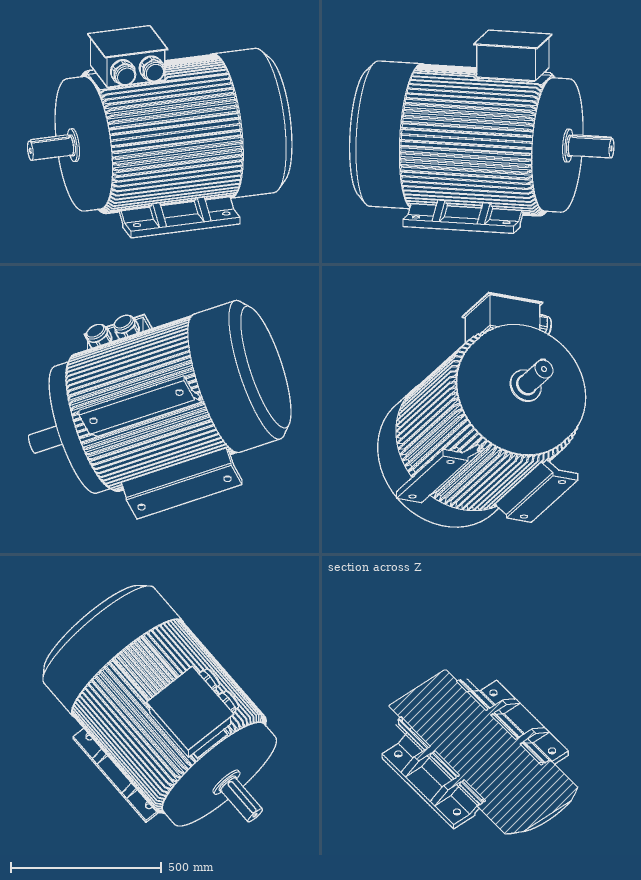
import cadquery as cq
import math


shaft_diameter = 65
shaft_length = 140
collar_diameter = 70
collar_length = 6
cap_diameter = 110
cap_length = 8
centre_hole_diameter = 17.29
centre_hole_cone_angle = 60
key_width = 18
key_length = 135
key_end_gap = 0.5
height_over_key = 69
key_top_height = height_over_key - shaft_diameter / 2
key_depth = 11

shield_diameter = 445
shield_length = 63
shield_edge_radius = 5
frame_diameter = 440
frame_length = 449
fan_cover_diameter = 485
fan_cover_length = 179
fan_cover_chamfer = 30

fin_tip_radius = 240
fin_thickness = 5
fin_pitch_angle = 5
fin_taper_length = 15
fin_taper_tip_radius = fin_tip_radius - fin_taper_length
fin_root_depth = 5
fin_root_radius = frame_diameter / 2 - fin_root_depth
fin_free_angle = 20

pad_width = 130
pad_top = 220.5
pad_front_gap = 5
top_fin_pitch = 15
top_fin_count = 9
top_fin_length = 207

box_width = 182
box_length = 202
box_bottom = 234
box_edge_chamfer = 5
box_centre_y = 199
overall_top = 354
lid_width = 198
lid_length = 218
lid_thickness = 4
pedestal_length = 130

gland_spacing = 100
gland_axis_height = 294
gland_collar_diameter = 77
gland_collar_length = 6
gland_hex_across_flats = 73
gland_hex_corner_diameter = 80
gland_hex_length = 28
gland_cap_diameter = 70
gland_cap_length = 18
gland_cap_chamfer = 5

shaft_height = 250
foot_length = 380
foot_outer_x = 245
foot_inner_x = 154
foot_thickness = 25
foot_inner_height = 12
leg_slope_angle = 35
leg_outer_start_x = 176
leg_end_x = 90
foot_rib_width = 25
foot_rib_spacing = 155
foot_hole_diameter = 24
foot_hole_spacing_x = 406
foot_hole_spacing_y = 311
foot_hole_first_y = 168

cap_front_y = collar_length
shield_front_y = cap_front_y + cap_length
frame_front_y = shield_front_y + shield_length
cover_front_y = frame_front_y + frame_length
foot_centre_y = foot_hole_first_y + foot_hole_spacing_y / 2


def cylinder_y(diameter, front_y, length):
    """Cylinder on the shaft axis, running from front_y towards +Y."""
    plane = cq.Workplane("XZ", origin=(0, front_y, 0))
    return plane.circle(diameter / 2).extrude(-length)


def box_between(x_range, y_range, z_range):
    """Axis-aligned box given by its limits."""
    size = [high - low for low, high in (x_range, y_range, z_range)]
    corner = (x_range[0], y_range[0], z_range[0])
    return cq.Workplane("XY").box(*size, centered=False).translate(corner)


def make_shaft():
    shaft = cylinder_y(shaft_diameter, -shaft_length, shaft_length + collar_length)
    shaft = shaft.union(cylinder_y(collar_diameter, 0, collar_length))
    shaft = shaft.union(cylinder_y(cap_diameter, cap_front_y, cap_length))
    key_start_y = -shaft_length + key_end_gap
    key = (
        cq.Workplane("XY", origin=(0, key_start_y + key_length / 2, key_top_height - key_depth))
        .slot2D(key_length, key_width, 90)
        .extrude(key_depth)
    )
    hole_radius = centre_hole_diameter / 2
    hole_depth = hole_radius / math.tan(math.radians(centre_hole_cone_angle / 2))
    centre_hole = cq.Workplane(
        cq.Solid.makeCone(hole_radius, 0, hole_depth, cq.Vector(0, -shaft_length, 0), cq.Vector(0, 1, 0))
    )
    return shaft.union(key).cut(centre_hole)


def make_body():
    shield = cylinder_y(shield_diameter, shield_front_y, shield_length)
    shield = shield.faces("<Y").edges().fillet(shield_edge_radius)
    frame = cylinder_y(frame_diameter, frame_front_y, frame_length)
    cover = cylinder_y(fan_cover_diameter, cover_front_y, fan_cover_length)
    cover = cover.faces(">Y").edges().chamfer(fan_cover_chamfer)
    return shield.union(frame).union(cover)


def fin_envelope(front_y):
    """Revolved body that limits the fin tips, tapered at its front end."""
    return (
        cq.Workplane("XY")
        .moveTo(0, front_y)
        .lineTo(fin_taper_tip_radius, front_y)
        .lineTo(fin_tip_radius, front_y + fin_taper_length)
        .lineTo(fin_tip_radius, cover_front_y)
        .lineTo(0, cover_front_y)
        .close()
        .revolve(360, (0, 0, 0), (0, 1, 0))
    )


def make_radial_fins():
    """Fins all round the frame, except under the top pad; angles run from straight up."""
    blade = box_between(
        (-fin_thickness / 2, fin_thickness / 2),
        (frame_front_y, cover_front_y),
        (fin_root_radius, fin_tip_radius + fin_thickness),
    )
    fin_count = round((360 - 2 * fin_free_angle) / fin_pitch_angle) + 1
    fins = []
    for index in range(fin_count):
        angle = fin_free_angle + index * fin_pitch_angle
        fins.append(blade.rotate((0, 0, 0), (0, 1, 0), angle).val())
    envelope = fin_envelope(frame_front_y)
    return cq.Workplane(cq.Compound.makeCompound(fins)).intersect(envelope)


def make_top_pad():
    half_width = pad_width / 2
    pad = box_between(
        (-half_width, half_width),
        (frame_front_y + pad_front_gap, cover_front_y),
        (0, pad_top),
    )
    envelope = fin_envelope(cover_front_y - top_fin_length - fin_taper_length)
    for index in range(top_fin_count):
        x = (index - (top_fin_count - 1) / 2) * top_fin_pitch
        blade = box_between(
            (x - fin_thickness / 2, x + fin_thickness / 2),
            (frame_front_y, cover_front_y),
            (0, fin_tip_radius),
        )
        pad = pad.union(blade.intersect(envelope))
    return pad


def make_gland(y):
    """Cable gland pointing to +X: round collar, hexagon with rounded corners, round cap."""
    plane = cq.Workplane("YZ", origin=(box_width / 2, y, gland_axis_height))
    hex_start = gland_collar_length
    cap_start = hex_start + gland_hex_length
    collar = plane.circle(gland_collar_diameter / 2).extrude(hex_start)
    hex_corner_distance = gland_hex_across_flats / math.cos(math.radians(30))
    hexagon = plane.workplane(offset=hex_start).transformed(rotate=(0, 0, 90))
    hexagon = hexagon.polygon(6, hex_corner_distance).extrude(gland_hex_length)
    rounding = plane.circle(gland_hex_corner_diameter / 2).extrude(cap_start)
    cap = plane.workplane(offset=cap_start).circle(gland_cap_diameter / 2).extrude(gland_cap_length)
    cap = cap.faces(">X").edges().chamfer(gland_cap_chamfer)
    return collar.union(hexagon.intersect(rounding)).union(cap)


def make_terminal_box():
    plane = cq.Workplane("XY", origin=(0, box_centre_y, 0))
    lid_bottom = overall_top - lid_thickness
    pedestal = plane.rect(pad_width, pedestal_length).extrude(box_bottom)
    box = plane.workplane(offset=box_bottom).rect(box_width, box_length).extrude(lid_bottom - box_bottom)
    box = box.faces("<Z").edges().chamfer(box_edge_chamfer)
    lid = plane.workplane(offset=lid_bottom).rect(lid_width, lid_length).extrude(lid_thickness)
    terminal_box = pedestal.union(box).union(lid)
    for side in (-1, 1):
        terminal_box = terminal_box.union(make_gland(box_centre_y + side * gland_spacing / 2))
    return terminal_box


def make_foot():
    """Foot on the +X side: base plate, sloping leg into the frame, two ribs and two holes."""
    base_z = -shaft_height
    plate_z = base_z + foot_thickness
    slope = math.tan(math.radians(leg_slope_angle))
    leg_top_end_z = plate_z + (leg_outer_start_x - leg_end_x) * slope
    leg = (
        cq.Workplane("XZ", origin=(0, foot_centre_y - foot_length / 2, 0))
        .moveTo(foot_outer_x, base_z)
        .lineTo(foot_outer_x, plate_z)
        .lineTo(leg_outer_start_x, plate_z)
        .lineTo(leg_end_x, leg_top_end_z)
        .lineTo(leg_end_x, base_z + foot_inner_height + (foot_inner_x - leg_end_x) * slope)
        .lineTo(foot_inner_x, base_z + foot_inner_height)
        .lineTo(foot_inner_x, base_z)
        .close()
        .extrude(-foot_length)
    )
    for side in (-1, 1):
        rib_centre_y = foot_centre_y + side * foot_rib_spacing / 2
        rib = (
            cq.Workplane("XZ", origin=(0, rib_centre_y - foot_rib_width / 2, 0))
            .moveTo(foot_outer_x, plate_z)
            .lineTo(leg_end_x, plate_z + (foot_outer_x - leg_end_x) * slope)
            .lineTo(leg_end_x, leg_top_end_z)
            .lineTo(leg_outer_start_x, plate_z)
            .close()
            .extrude(-foot_rib_width)
        )
        leg = leg.union(rib)
    for side in (-1, 1):
        hole_y = foot_centre_y + side * foot_hole_spacing_y / 2
        hole = (
            cq.Workplane("XY", origin=(foot_hole_spacing_x / 2, hole_y, base_z))
            .circle(foot_hole_diameter / 2)
            .extrude(foot_thickness)
        )
        leg = leg.cut(hole)
    return leg


foot = make_foot()
result = make_body()
for section in (
    make_shaft(),
    make_radial_fins(),
    make_top_pad(),
    make_terminal_box(),
    foot,
    foot.mirror("YZ"),
):
    result = result.union(section)